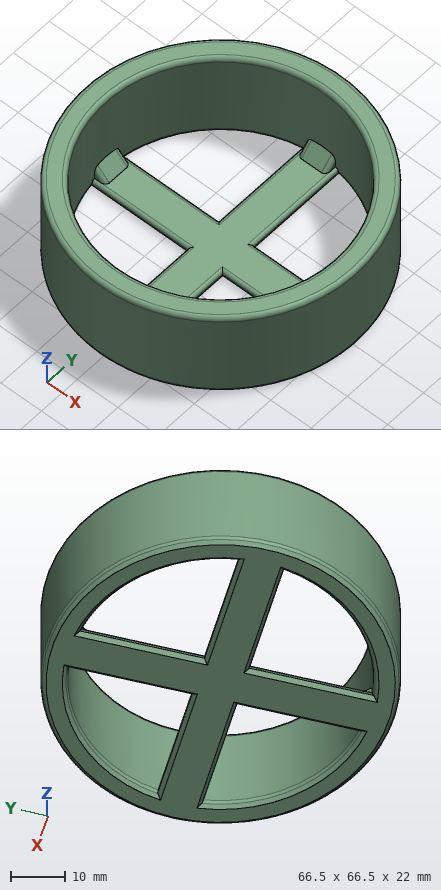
import cadquery as cq

outer_diameter = 66.5
inner_diameter = 56.5
height = 22.0
rim_radius = 1.0
base_chamfer = 1.0
base_blend_radius = 1.0
outer_radius = outer_diameter / 2
inner_radius = inner_diameter / 2
wall = outer_radius - inner_radius

bar_flat_width = 7.0
bar_edge_radius = 0.8
bar_base_chamfer = 0.8
bar_width = bar_flat_width + 2 * bar_edge_radius
bar_thickness = 2.0

gusset_run = 3.0
gusset_rise = gusset_run
gusset_edge_radius = 1.0
embed = wall / 2


def make_ring():
    ring = cq.Workplane("XY").circle(outer_radius).circle(inner_radius).extrude(height)
    ring = ring.faces(">Z").edges().fillet(rim_radius)
    ring = ring.faces("<Z").edges().chamfer(base_chamfer)
    chamfer_top = cq.selectors.BoxSelector(
        (-outer_diameter, -outer_diameter, base_chamfer / 2),
        (outer_diameter, outer_diameter, base_chamfer * 1.5),
    )
    return ring.edges("%CIRCLE").edges(chamfer_top).fillet(base_blend_radius)


def make_cross():
    length = 2 * (inner_radius + embed)
    bar_x = cq.Workplane("XY").box(length, bar_width, bar_thickness, centered=(True, True, False))
    bar_y = bar_x.rotate((0, 0, 0), (0, 0, 1), 90)
    cross = bar_x.union(bar_y).faces(">Z").edges().fillet(bar_edge_radius)
    return cross.faces("<Z").edges().chamfer(bar_base_chamfer)


def make_gusset():
    """Wedge on the +X arm, starting inside the bar so that its edges blend into it."""
    slope = gusset_rise / gusset_run
    foot = inner_radius - gusset_run
    back = inner_radius + embed
    sunk_foot = foot - bar_edge_radius / slope
    profile = [
        (sunk_foot, bar_thickness - bar_edge_radius),
        (back, bar_thickness - bar_edge_radius),
        (back, bar_thickness + gusset_rise),
        (inner_radius, bar_thickness + gusset_rise),
    ]
    wedge = cq.Workplane("XZ").polyline(profile).close().extrude(bar_flat_width / 2, both=True)
    slope_sides = cq.selectors.BoxSelector(
        (sunk_foot, -bar_width, bar_thickness),
        (inner_radius, bar_width, bar_thickness + gusset_rise),
    )
    return wedge.edges("not |Y").edges(slope_sides).fillet(gusset_edge_radius)


result = make_ring().union(make_cross())
gusset = make_gusset()
for angle in (0, 90, 180, 270):
    result = result.union(gusset.rotate((0, 0, 0), (0, 0, 1), angle))